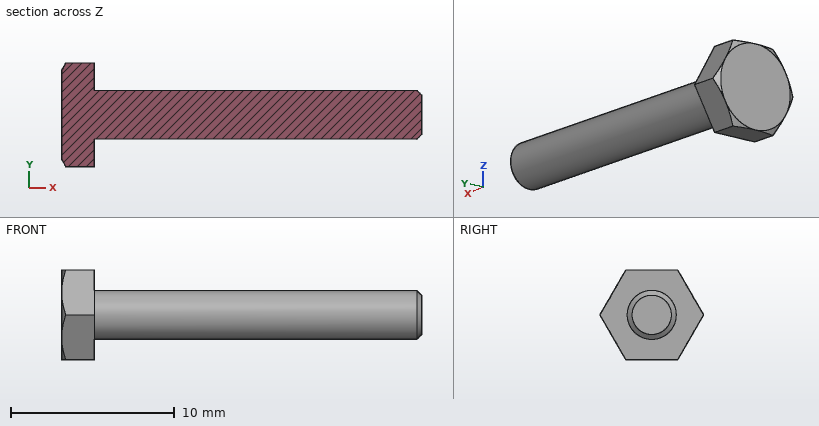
import cadquery as cq
import math

thread_diameter = 3.0
shank_length = 20.0
tip_chamfer = 0.3

head_height = 2.0
across_flats = 5.5
head_chamfer_angle = 30.0

hex_sides = 6
across_corners = across_flats / math.cos(math.pi / hex_sides)


def hex_prism():
    """Head blank with its corners on +Y and -Y, flats on +Z and -Z."""
    return (
        cq.Workplane("YZ", origin=(-head_height, 0, 0))
        .polygon(hex_sides, across_corners)
        .extrude(head_height)
    )


def head_envelope():
    """Truncated cone, widening from the head face, that trims the outer corners of the hexagon."""
    face_radius = across_flats / 2
    base_radius = face_radius + head_height / math.tan(math.radians(head_chamfer_angle))
    return (
        cq.Workplane("XY")
        .moveTo(-head_height, 0)
        .lineTo(-head_height, face_radius)
        .lineTo(0, base_radius)
        .lineTo(0, 0)
        .close()
        .revolve(360, (0, 0, 0), (1, 0, 0))
    )


def shank():
    """Plain cylinder with a chamfered tip."""
    return (
        cq.Workplane("YZ")
        .circle(thread_diameter / 2)
        .extrude(shank_length)
        .faces(">X")
        .chamfer(tip_chamfer)
    )


head = hex_prism().intersect(head_envelope())
result = head.union(shank())